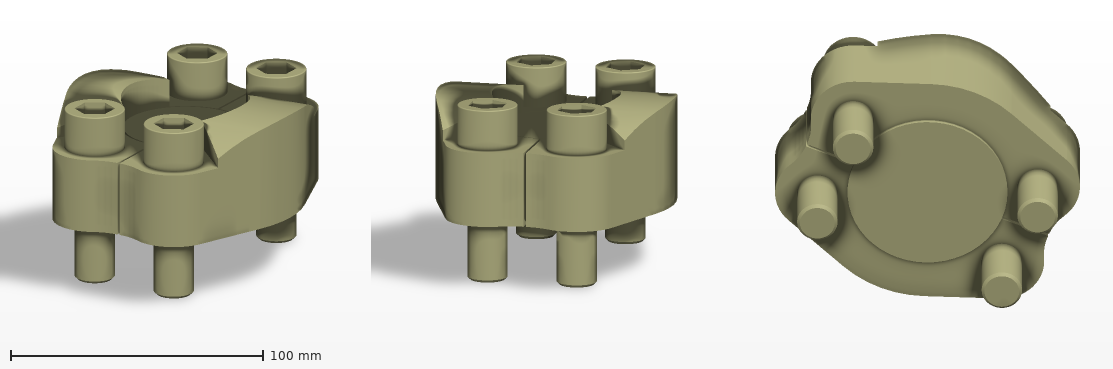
import cadquery as cq
import math


clamp_length = 113.0
clamp_width = 95.8
split_gap = 1.0
deck_height = 29.9
crown_height = 43.2
crown_shoulder_offset = 37.3
crown_shoulder_height = 33.8
side_radius = 48.6
waist_angle = math.radians(62.3)

screw_spacing_x = 36.5
screw_spacing_y = 79.4
head_diameter = 24.0
head_height = 16.2
head_rounding = 0.5
socket_width = 14.0
socket_depth = 8.0
shank_diameter = 16.0
shank_end_depth = 24.9
shank_chamfer = 1.1

flange_diameter = 63.5
flange_thickness = 1.8
neck_diameter = 49.6
collar_diameter = 51.3
collar_height = 4.9
collar_fillet = 1.5

screw_x = screw_spacing_x / 2
screw_y = screw_spacing_y / 2
lobe_radius = clamp_length / 2 - screw_y
side_center_x = clamp_width / 2 - side_radius
split_x = split_gap / 2


def polar(center, radius, angle):
    return (center[0] + radius * math.cos(angle), center[1] + radius * math.sin(angle))


def mirrored(point):
    return (point[0], -point[1])


def half_outline():
    """Plan outline of the +X clamp half: side arc, straight flanks, end lobes and waist arcs."""
    lobe_center = (screw_x, screw_y)
    side_center = (side_center_x, 0)

    span_x = screw_x - side_center_x
    span = math.hypot(span_x, screw_y)
    flank_angle = math.atan2(screw_y, span_x) - math.acos((side_radius - lobe_radius) / span)
    side_end = polar(side_center, side_radius, flank_angle)
    lobe_start = polar(lobe_center, lobe_radius, flank_angle)
    lobe_top = (screw_x, clamp_length / 2)

    reach = (screw_x - split_x) / math.cos(waist_angle)
    waist_radius = reach - lobe_radius
    direction = math.pi - waist_angle
    waist_center = polar(lobe_center, reach, direction)
    lobe_end = polar(lobe_center, lobe_radius, direction)
    waist_end = polar(waist_center, waist_radius, -math.pi / 2)
    waist_middle = polar(waist_center, waist_radius, -(math.pi / 2 + waist_angle) / 2)

    return (
        cq.Workplane("XY")
        .moveTo(*mirrored(side_end))
        .threePointArc((clamp_width / 2, 0), side_end)
        .lineTo(*lobe_start)
        .threePointArc(lobe_top, lobe_end)
        .threePointArc(waist_middle, waist_end)
        .lineTo(*mirrored(waist_end))
        .threePointArc(mirrored(waist_middle), mirrored(lobe_end))
        .threePointArc(mirrored(lobe_top), mirrored(lobe_start))
        .close()
    )


def clamp_half():
    deck = half_outline().extrude(deck_height)

    arch = (
        cq.Workplane("YZ")
        .moveTo(-crown_shoulder_offset, 0)
        .lineTo(-crown_shoulder_offset, crown_shoulder_height)
        .threePointArc((0, crown_height), (crown_shoulder_offset, crown_shoulder_height))
        .lineTo(crown_shoulder_offset, 0)
        .close()
        .extrude(clamp_width)
    )
    sector = (
        cq.Workplane("XY")
        .polyline([(0, 0), (clamp_width, -clamp_width), (clamp_width, clamp_width)])
        .close()
        .extrude(crown_height)
    )
    crown = half_outline().extrude(crown_height).intersect(arch).intersect(sector)

    bore = cq.Workplane("XY").circle(collar_diameter / 2).extrude(crown_height)
    return deck.union(crown).cut(bore)


def pipe_stub():
    flange = cq.Workplane("XY").circle(flange_diameter / 2).extrude(-flange_thickness)
    collar_radius = collar_diameter / 2
    foot_radius = collar_radius + collar_fillet
    collar = (
        cq.Workplane("XZ")
        .lineTo(foot_radius, 0)
        .radiusArc((collar_radius, collar_fillet), collar_fillet)
        .lineTo(collar_radius, collar_height)
        .lineTo(0, collar_height)
        .close()
        .revolve(360, (0, 0), (0, 1))
    )
    neck = cq.Workplane("XY").circle(neck_diameter / 2).extrude(deck_height)
    return flange.union(collar).union(neck)


def screw():
    shank = (
        cq.Workplane("XY")
        .workplane(offset=-shank_end_depth)
        .circle(shank_diameter / 2)
        .extrude(shank_end_depth + deck_height)
        .faces("<Z")
        .chamfer(shank_chamfer)
    )
    head_top = deck_height + head_height
    head = (
        cq.Workplane("XY")
        .workplane(offset=deck_height)
        .circle(head_diameter / 2)
        .extrude(head_height)
        .faces(">Z")
        .edges()
        .fillet(head_rounding)
    )
    socket_corners = socket_width / math.cos(math.pi / 6)
    socket = (
        cq.Workplane("XY")
        .workplane(offset=head_top)
        .transformed(rotate=(0, 0, 90))
        .polygon(6, socket_corners)
        .extrude(-socket_depth)
    )
    return shank.union(head).cut(socket)


half = clamp_half()
result = pipe_stub().union(half).union(half.mirror("YZ"))
for x in (-screw_x, screw_x):
    for y in (-screw_y, screw_y):
        result = result.union(screw().translate((x, y, 0)))